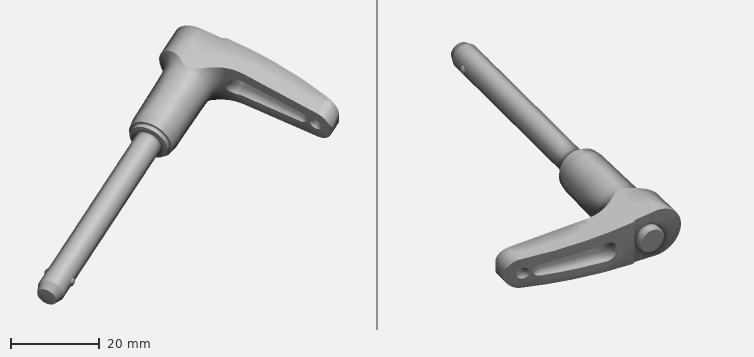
import cadquery as cq
import math


total_length = 82.8
button_height = 2.1
pin_radius = 3.2
button_chamfer = 0.25
tip_y = button_height - total_length
tip_chamfer_length = 2.1
tip_radius = 2.4

ball_radius = 1.25
ball_reach = 3.7
ball_from_tip = 6.4

grip_top_y = -12.7
grip_taper_end_y = -27.0
grip_end_y = -29.2
collar_end_y = -30.2
grip_top_radius = 6.05
grip_taper_end_radius = 5.8
grip_end_radius = 5.5
collar_radius = 4.8

flare_radius = 6.0
flare_top_y = grip_top_y + flare_radius
flare_rim_radius = grip_top_radius + flare_radius

head_left_x = -8.9
head_width = 12.7
head_radius = head_width / 2
head_center_x = head_left_x + head_radius
arm_tip_center_x = 31.3
arm_tip_radius = 4.05
arm_end_x = arm_tip_center_x + arm_tip_radius

seat_end_x = 3.2
crest_start_x = 4.1
crest_y = 0.5
back_mid_x = 17.4
back_mid_y = -0.25
arm_end_top_y = -4.1
arm_end_bottom_y = -8.8
arm_end_lean = 0.3
arm_corner_radius = 0.8

slot_start_x = 10.85
slot_start_radius = 2.6
slot_end_x = 27.2
slot_end_radius = 1.6
hole_x = 31.1
hole_radius = 1.5


def tapered_slot(x_large, r_large, x_small, r_small):
    """Prism along Y whose section is two circles joined by tangent lines."""
    sine = (r_large - r_small) / (x_small - x_large)
    cosine = math.sqrt(1 - sine**2)
    large = (x_large + r_large * sine, r_large * cosine)
    small = (x_small + r_small * sine, r_small * cosine)
    return (
        cq.Workplane("XZ")
        .moveTo(*large)
        .lineTo(*small)
        .threePointArc((x_small + r_small, 0), (small[0], -small[1]))
        .lineTo(large[0], -large[1])
        .threePointArc((x_large - r_large, 0), large)
        .close()
        .extrude(total_length, both=True)
    )


def handle_profile():
    """Side shape of the head and the drooping arm, with a rounded arm end."""
    profile = (
        cq.Workplane("XY")
        .moveTo(head_left_x, 0)
        .lineTo(seat_end_x, 0)
        .lineTo(crest_start_x, crest_y)
        .threePointArc((back_mid_x, back_mid_y), (arm_end_x - arm_end_lean, arm_end_top_y))
        .lineTo(arm_end_x, arm_end_bottom_y)
        .lineTo(flare_rim_radius, flare_top_y)
        .lineTo(head_left_x, flare_top_y)
        .close()
        .extrude(head_radius, both=True)
    )
    box_margin = 0.8
    arm_end_corners = cq.selectors.BoxSelector(
        (arm_end_x - arm_end_lean - box_margin, arm_end_bottom_y - box_margin, -box_margin),
        (arm_end_x + box_margin, arm_end_top_y + box_margin, box_margin),
    )
    return profile.edges(arm_end_corners).fillet(arm_corner_radius)


def flare():
    """Concave trumpet around the pin axis, from the grip up to the arm underside."""
    arc_offset = flare_radius * math.sqrt(0.5)
    arc_mid = (flare_rim_radius - arc_offset, grip_top_y + arc_offset)
    return (
        cq.Workplane("XY")
        .moveTo(0, grip_top_y)
        .lineTo(grip_top_radius, grip_top_y)
        .threePointArc(arc_mid, (flare_rim_radius, flare_top_y))
        .lineTo(0, flare_top_y)
        .close()
        .revolve(360, (0, 0), (0, 1))
    )


def handle():
    """Handle body with its tapered slot and the round hole near the arm end."""
    plan = tapered_slot(head_center_x, head_radius, arm_tip_center_x, arm_tip_radius)
    slot = tapered_slot(slot_start_x, slot_start_radius, slot_end_x, slot_end_radius)
    hole = cq.Workplane("XZ").center(hole_x, 0).circle(hole_radius).extrude(total_length, both=True)
    return handle_profile().union(flare()).intersect(plan).cut(slot).cut(hole)


def pin_and_grip():
    """Button, grip, collar and pin turned as one piece around Y."""
    half_section = [
        (0, button_height),
        (pin_radius - button_chamfer, button_height),
        (pin_radius, button_height - button_chamfer),
        (pin_radius, grip_top_y),
        (grip_top_radius, grip_top_y),
        (grip_taper_end_radius, grip_taper_end_y),
        (grip_end_radius, grip_end_y),
        (collar_radius, grip_end_y),
        (collar_radius, collar_end_y),
        (pin_radius, collar_end_y),
        (pin_radius, tip_y + tip_chamfer_length),
        (tip_radius, tip_y),
        (0, tip_y),
    ]
    return cq.Workplane("XY").polyline(half_section).close().revolve(360, (0, 0), (0, 1))


def locking_balls():
    """Pair of balls standing out on opposite sides of the pin."""
    ball_x = ball_reach - ball_radius
    centers = [(-ball_x, tip_y + ball_from_tip), (ball_x, tip_y + ball_from_tip)]
    return cq.Workplane("XY").pushPoints(centers).sphere(ball_radius)


result = pin_and_grip().union(handle()).union(locking_balls())